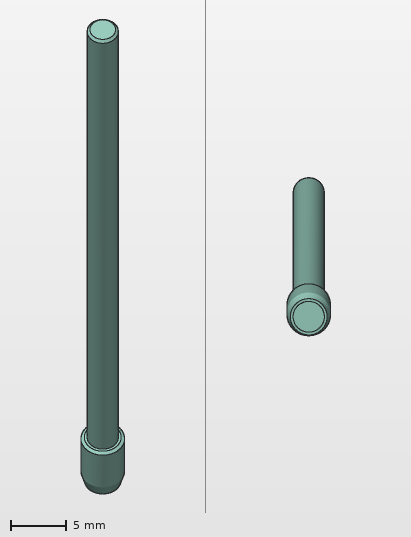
import cadquery as cq

total_length = 63.0
rod_diameter = 2.85
rod_chamfer = 0.25

sleeve_diameter = 4.0
sleeve_length = 6.0
sleeve_end_diameter = 3.35
sleeve_taper_length = 1.25
sleeve_chamfer_height = 0.2

rod_radius = rod_diameter / 2
sleeve_radius = sleeve_diameter / 2
sleeve_end_radius = sleeve_end_diameter / 2


def make_rod():
    """Round rod along Z, running through the sleeve, with a chamfered top end."""
    return cq.Workplane("XY").circle(rod_radius).extrude(total_length).faces(">Z").chamfer(rod_chamfer)


def make_sleeve():
    """Sleeve with a through bore, a tapered lower end and a chamfered top edge."""
    half_section = [
        (rod_radius, 0),
        (sleeve_end_radius, 0),
        (sleeve_radius, sleeve_taper_length),
        (sleeve_radius, sleeve_length - sleeve_chamfer_height),
        (sleeve_end_radius, sleeve_length),
        (rod_radius, sleeve_length),
    ]
    return cq.Workplane("XZ").polyline(half_section).close().revolve(360, (0, 0, 0), (0, 1, 0))


rod = make_rod()
sleeve = make_sleeve()
result = cq.Compound.makeCompound([rod.val(), sleeve.val()])